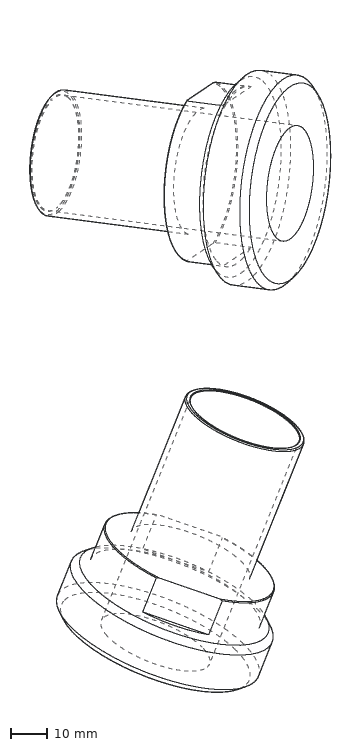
import cadquery as cq

total_length = 70.5

tube_radius = 35.0 / 2
bore_radius = 32.0 / 2
outer_rim_chamfer = 0.35
inner_rim_chamfer = 0.2

collar_start = 43.6
collar_radius = 50.0 / 2
collar_chamfer = 0.3
flat_distance = 23.05
flat_end = 54.6

flange_start = 55.6
flange_radius = 59.5 / 2
flange_chamfer = 2.0

corner_radius = 0.8


def disc(start, end, radius):
    """Cylinder on the X axis between two X positions."""
    return cq.Workplane("YZ").workplane(offset=start).circle(radius).extrude(end - start)


def corner_fillet(shoulder_x, shaft_radius):
    """Ring that rounds the corner between a shaft and the shoulder at its +X end."""
    start = shoulder_x - corner_radius
    rim = shaft_radius + corner_radius
    middle = corner_radius * 0.5 ** 0.5
    return (
        cq.Workplane("XY")
        .moveTo(start, bore_radius)
        .lineTo(start, shaft_radius)
        .threePointArc((start + middle, rim - middle), (shoulder_x, rim))
        .lineTo(shoulder_x, bore_radius)
        .close()
        .revolve(360, (0, 0, 0), (1, 0, 0))
    )


def wrench_flat(side):
    """Material removed above (side = 1) or below (side = -1) the collar."""
    depth = flange_radius - flat_distance
    center_z = side * (flat_distance + depth / 2)
    length = flat_end - collar_start
    return (
        cq.Workplane("XY")
        .box(length, 2 * flange_radius, depth)
        .translate((collar_start + length / 2, 0, center_z))
    )


tube = disc(0, collar_start, tube_radius).faces("<X").chamfer(outer_rim_chamfer)
collar = disc(collar_start, flange_start, collar_radius).faces("<X").chamfer(collar_chamfer)
flange = disc(flange_start, total_length, flange_radius).faces("<X or >X").chamfer(flange_chamfer)

body = tube.union(collar).union(flange)
body = body.union(corner_fillet(collar_start, tube_radius))
body = body.union(corner_fillet(flange_start, collar_radius))
for side in (1, -1):
    body = body.cut(wrench_flat(side))

body = body.cut(disc(0, total_length, bore_radius))
result = body.faces("<X").edges("%CIRCLE").edges(cq.selectors.RadiusNthSelector(0)).chamfer(inner_rim_chamfer)